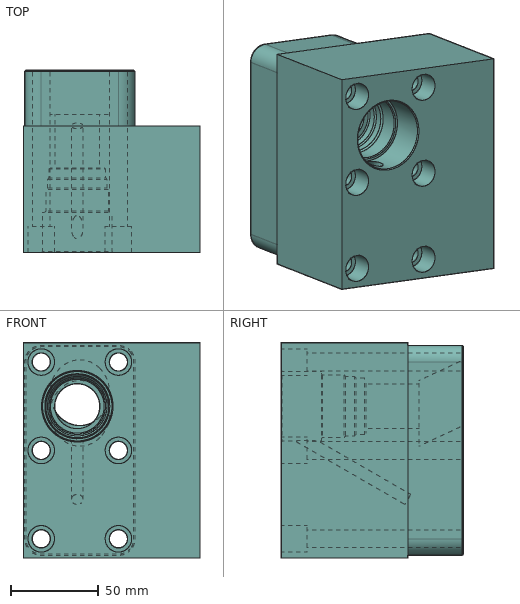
import cadquery as cq
import math

block_width = 101.5
block_depth = 72.8
block_height = 123.8

bolt_first_x = 10.3
bolt_first_z = 11.1
bolt_pitch_x = 44.3
bolt_pitch_z = 50.8
bolt_columns = 2
bolt_rows = 3
bolt_hole_diameter = 10.3
counterbore_diameter = 15.2
counterbore_depth = 14.9

total_depth = 104.8
cover_depth = total_depth - block_depth
cover_corner_radius = 9.5
cover_edge_chamfer = 0.7
cover_width = bolt_pitch_x * (bolt_columns - 1) + 2 * cover_corner_radius
cover_height = bolt_pitch_z * (bolt_rows - 1) + 2 * cover_corner_radius

bore_x = 31.0
bore_z = 87.3
mouth_radius = 20.5
bore_radius = 19.9
mouth_chamfer = mouth_radius - bore_radius
bore_depth = 23.2
shoulder_radius = 18.7
land_radii = [18.1, 17.1, 16.2, 15.5]
land_lengths = [12.4, 5.0, 5.0, 0.0]
outlet_radius = 12.9
outlet_depth = 92.9

port_radius = 17.1
port_start_y = 79.3
port_exit_x = 32.5
port_exit_z = 95.1
port_angle = 25.0

drilling_radius = 3.3
drilling_entry_y = 14.6
drilling_angle = 30.0


def cylinder_between(start, end, radius):
    axis = end - start
    return cq.Workplane(obj=cq.Solid.makeCylinder(radius, axis.Length, start, axis))


def make_block():
    return cq.Workplane().box(block_width, block_depth, block_height, centered=False)


def make_cover():
    left = bolt_first_x - cover_corner_radius
    bottom = bolt_first_z - cover_corner_radius
    return (
        cq.Workplane()
        .box(cover_width, cover_depth, cover_height, centered=False)
        .translate((left, block_depth, bottom))
        .edges("|Y")
        .fillet(cover_corner_radius)
        .faces(">Y")
        .edges()
        .chamfer(cover_edge_chamfer)
    )


def make_bolt_holes():
    holes = cq.Workplane()
    for column in range(bolt_columns):
        for row in range(bolt_rows):
            x = bolt_first_x + column * bolt_pitch_x
            z = bolt_first_z + row * bolt_pitch_z
            front = cq.Vector(x, 0, z)
            head_seat = cq.Vector(x, counterbore_depth, z)
            back = cq.Vector(x, total_depth, z)
            holes = holes.add(cylinder_between(front, back, bolt_hole_diameter / 2))
            holes = holes.add(cylinder_between(front, head_seat, counterbore_diameter / 2))
    return holes.combine()


def make_cartridge_bore():
    half_section = [
        (0, 0),
        (mouth_radius, 0),
        (bore_radius, mouth_chamfer),
        (bore_radius, bore_depth),
        (shoulder_radius, bore_depth),
    ]
    radius = shoulder_radius
    depth = bore_depth
    for land_radius, land_length in zip(land_radii, land_lengths):
        depth += radius - land_radius
        radius = land_radius
        half_section.append((radius, depth))
        if land_length > 0:
            depth += land_length
            half_section.append((radius, depth))
    half_section += [(outlet_radius, depth), (outlet_radius, outlet_depth), (0, outlet_depth)]
    bore = cq.Workplane("XY").polyline(half_section).close().revolve(360, (0, 0), (0, 1))
    return bore.translate((bore_x, 0, bore_z))


def make_port():
    run = total_depth - port_start_y
    slope = cq.Vector(0, run, run * math.tan(math.radians(port_angle)))
    exit_centre = cq.Vector(port_exit_x, total_depth, port_exit_z)
    port = cylinder_between(exit_centre - slope * 2, exit_centre + slope, port_radius)
    behind_start = (
        cq.Workplane()
        .box(block_width, block_depth, 2 * block_height, centered=False)
        .translate((0, port_start_y, 0))
    )
    return port.intersect(behind_start)


def make_drilling():
    slope = math.tan(math.radians(drilling_angle))
    entry_z = bore_z - bore_radius
    start = cq.Vector(bore_x, 0, entry_z + drilling_entry_y * slope)
    end = cq.Vector(bore_x, block_depth, entry_z - (block_depth - drilling_entry_y) * slope)
    return cylinder_between(start, end, drilling_radius)


result = (
    make_block()
    .union(make_cover())
    .cut(make_bolt_holes())
    .cut(make_cartridge_bore())
    .cut(make_port())
    .cut(make_drilling())
)